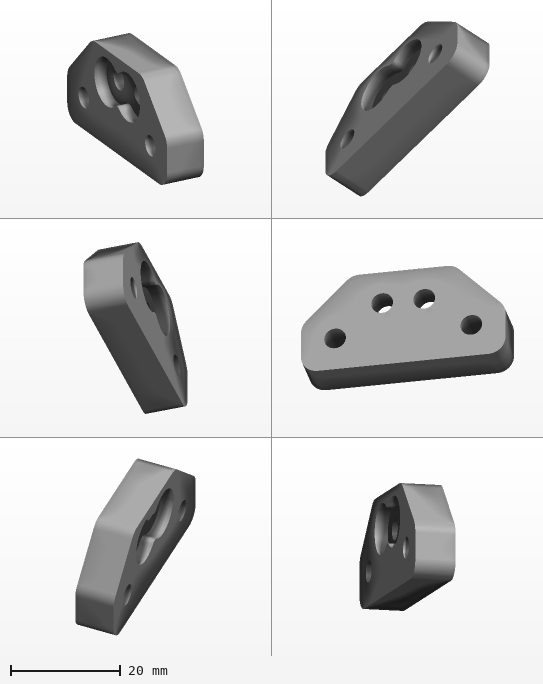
import cadquery as cq
import math

width = 38.1
thickness = 7.62
height = 19.05
chamfer = 9.52
upper_corner_radius = 3.15
bottom_corner_radius = 3.12

hole_diameter = 4.05
outer_hole_spacing = width * 2 / 3
outer_hole_height = height / 3
inner_hole_spacing = 7.85
inner_hole_height = height * 2 / 3

pocket_radius = 4.75
neck_radius = 1.37
pocket_depth = 2.5


def front_plane(z=0):
    """Sketch plane on the front face (Y = 0), centred in X; its normal points to -Y."""
    return cq.Workplane("XZ", origin=(0, 0, z))


def make_plate():
    half = width / 2
    shoulder = height - chamfer
    plate = (
        front_plane()
        .polyline([
            (-half, 0),
            (half, 0),
            (half, shoulder),
            (half - chamfer, height),
            (-half + chamfer, height),
            (-half, shoulder),
        ])
        .close()
        .extrude(-thickness)
    )
    middle = shoulder / 2
    bottom_corners = cq.selectors.BoxSelector((-width, 0, -middle), (width, thickness, middle))
    upper_corners = cq.selectors.BoxSelector((-width, 0, middle), (width, thickness, 2 * height))
    plate = plate.edges("|Y").edges(upper_corners).fillet(upper_corner_radius)
    return plate.edges("|Y").edges(bottom_corners).fillet(bottom_corner_radius)


def make_pocket():
    lobe_x = inner_hole_spacing / 2
    neck_center = math.sqrt((pocket_radius + neck_radius) ** 2 - lobe_x ** 2)
    lobe_share = pocket_radius / (pocket_radius + neck_radius)
    tangent_x = lobe_x * (1 - lobe_share)
    tangent_z = neck_center * lobe_share
    neck_z = neck_center - neck_radius
    lobe_end = lobe_x + pocket_radius
    return (
        front_plane(inner_hole_height)
        .moveTo(-tangent_x, tangent_z)
        .threePointArc((0, neck_z), (tangent_x, tangent_z))
        .threePointArc((lobe_end, 0), (tangent_x, -tangent_z))
        .threePointArc((0, -neck_z), (-tangent_x, -tangent_z))
        .threePointArc((-lobe_end, 0), (-tangent_x, tangent_z))
        .close()
        .extrude(-pocket_depth)
    )


def make_hole_pair(spacing, z):
    return (
        front_plane(z)
        .pushPoints([(-spacing / 2, 0), (spacing / 2, 0)])
        .circle(hole_diameter / 2)
        .extrude(-thickness)
    )


result = (
    make_plate()
    .cut(make_pocket())
    .cut(make_hole_pair(outer_hole_spacing, outer_hole_height))
    .cut(make_hole_pair(inner_hole_spacing, inner_hole_height))
)